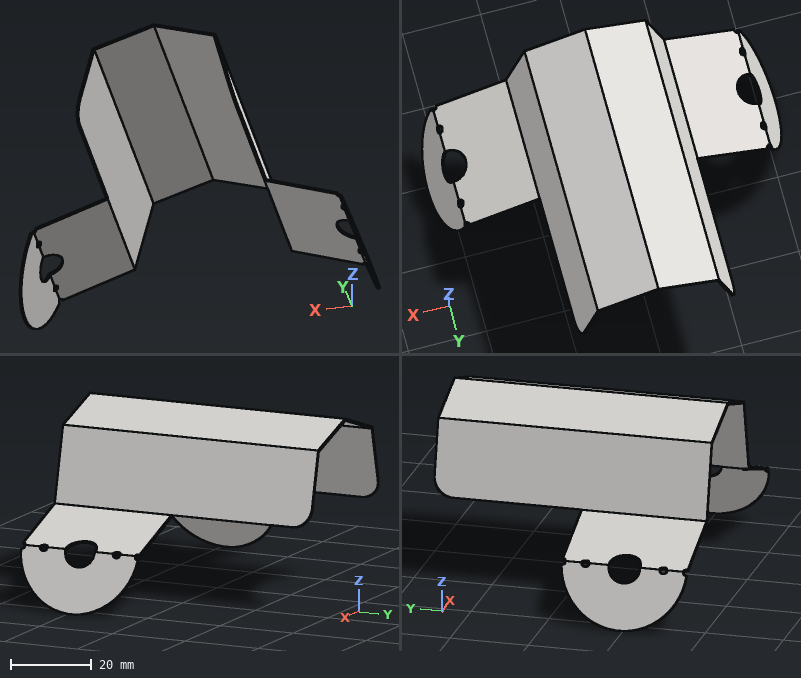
import cadquery as cq
import math

overall_width = 89.1
overall_height = 46.05
sheet_thickness = 0.5

roof_length = 70.0
shoulder_half_width = 15.5
shoulder_drop = 5.1
valley_half_width = 20.2
valley_drop = 24.05
wall_corner_radius = 5.0

flange_length = 32.1
foot_radius = flange_length / 2
foot_slope = math.radians(70)

center_hole_diameter = 8.0
center_hole_leg_offset = 0.45
center_hole_foot_offset = 0.2
relief_hole_diameter = 2.0
relief_hole_spacing = 10.0

foot_tip = (-overall_width / 2, sheet_thickness * math.cos(foot_slope))
knee = (
    foot_tip[0] + foot_radius * math.cos(foot_slope),
    foot_tip[1] + foot_radius * math.sin(foot_slope),
)
valley = (-valley_half_width, overall_height - valley_drop)
shoulder = (-shoulder_half_width, overall_height - shoulder_drop)
apex = (0.0, overall_height)
right_shoulder = (shoulder_half_width, shoulder[1])


def direction(start, end):
    """Unit vector from one section point to another."""
    length = math.dist(start, end)
    return ((end[0] - start[0]) / length, (end[1] - start[1]) / length)


def inner_corner(before, corner, after):
    """Point on the inner surface facing an outer corner: mitred at a fold, square at a free end."""
    first = direction(before, corner) if before else direction(corner, after)
    second = direction(corner, after) if after else first
    scale = sheet_thickness / (1 + first[0] * second[0] + first[1] * second[1])
    return (
        corner[0] + scale * (first[1] + second[1]),
        corner[1] - scale * (first[0] + second[0]),
    )


def panel(before, start, end, after, length):
    """Flat panel between two outer corners, running along Y from the front edge."""
    section = [start, end, inner_corner(start, end, after), inner_corner(before, start, end)]
    return cq.Workplane("XZ").polyline(section).close().extrude(-length)


def panel_plane(start, end):
    """Plane on a panel's outer face: origin at its start, local x up the slope, local y along Y."""
    slope = direction(start, end)
    return cq.Workplane(
        cq.Plane(
            origin=(start[0], 0, start[1]),
            xDir=(slope[0], 0, slope[1]),
            normal=(-slope[1], 0, slope[0]),
        )
    )


def disc(plane, position, y, radius):
    """Round cutter through the sheet, centred on the panel's outer face."""
    return (
        plane.center(position, y)
        .circle(radius)
        .extrude(2 * sheet_thickness, both=True)
    )


def cut_fold_holes(body, plane, fold_position, center_hole_position):
    """Cut the middle hole, the relief holes and the edge notches that straddle the fold."""
    middle = flange_length / 2
    body = body.cut(disc(plane, center_hole_position, middle, center_hole_diameter / 2))
    relief_positions = [0, middle - relief_hole_spacing, middle + relief_hole_spacing, flange_length]
    for y in relief_positions:
        body = body.cut(disc(plane, fold_position, y, relief_hole_diameter / 2))
    return body


def make_foot():
    """Half-round foot below the fold."""
    plane = panel_plane(foot_tip, knee)
    foot = panel(None, foot_tip, knee, valley, flange_length)
    foot = foot.intersect(disc(plane, foot_radius, flange_length / 2, foot_radius))
    return cut_fold_holes(foot, plane, foot_radius, foot_radius - center_hole_foot_offset)


def make_leg():
    """Sloping leg between the fold and the foot of the wall."""
    leg = panel(foot_tip, knee, valley, shoulder, flange_length)
    return cut_fold_holes(leg, panel_plane(knee, valley), 0, center_hole_leg_offset)


def make_wall():
    """Steep wall with its lower rear corner rounded."""
    joined_wall = panel(knee, valley, shoulder, apex, flange_length)
    full_wall = panel(None, valley, shoulder, apex, roof_length)
    corner_center = roof_length - wall_corner_radius
    plane = panel_plane(valley, shoulder)
    corner_block = (
        plane.center(0, corner_center)
        .rect(wall_corner_radius, 2 * wall_corner_radius, centered=False)
        .extrude(2 * sheet_thickness, both=True)
    )
    corner_waste = corner_block.cut(disc(plane, wall_corner_radius, corner_center, wall_corner_radius))
    return full_wall.cut(corner_waste).union(joined_wall)


def make_roof_half():
    """Shallow panel from the shoulder to the ridge."""
    return panel(valley, shoulder, apex, right_shoulder, roof_length)


left_half = make_roof_half().union(make_wall()).union(make_leg()).union(make_foot())
result = left_half.union(left_half.mirror("YZ"))